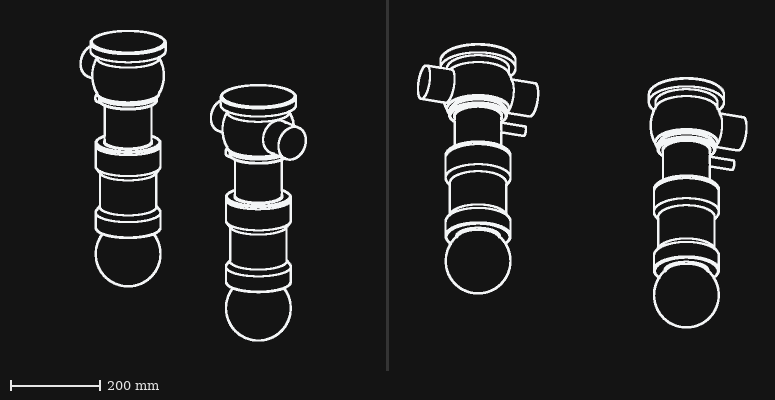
import cadquery as cq
import math

AXIS_X = 250.0
PORT_REACH = 130.0

FLANGE_R = 169.0 / 2
FLANGE_HEIGHT = 22.0
FLANGE_CHAMFER = 3.0
NECK_R = 139.0 / 2
BULB_R = 80.5
BULB_Z = -80.0
BULB_HALF_HEIGHT = math.sqrt(BULB_R**2 - NECK_R**2)
HEAD_BOTTOM_Z = -122.0
PORT_R = 76 / 2
PORT_Z = -78.0

COLLAR_R = 120.0 / 2
RING_R = 130.0 / 2
RING_TOP_Z = -126.0
RING_BOTTOM_Z = -140.0
RING_CHAMFER = 3.0
TUBE_R = 105.0 / 2
TUBE_END_BEVEL = 1.5
FOOT_TOP_Z = -235.5
SLEEVE_TOP_Z = -243.0
PIN_R = 22.0 / 2
PIN_Z = -159.0
PIN_REACH = 111.0

BAND_R = 146.0 / 2
WAIST_R = 127.0 / 2
UPPER_BAND_BOTTOM_Z = -292.5
LOWER_BAND_TOP_Z = -400.5
SLEEVE_BOTTOM_Z = -438.5
BAND_TAPER = 13.0
BAND_CHAMFER = 2.0
TIP_TOP_R = 99 / 2
TIP_BOTTOM_R = 76 / 2

BALL_R = 146.0 / 2
BALL_BOTTOM_Z = -571.0
BALL_Z = BALL_BOTTOM_Z + BALL_R
BALL_TOP_Z = -443.0
BALL_FLAT_R = math.sqrt(BALL_R**2 - (BALL_TOP_Z - BALL_Z)**2)


def revolve_profile(profile):
    """Close a radius/height outline and turn it about the Z axis."""
    return profile.close().revolve(360, (0, 0, 0), (0, 1, 0))


def side_rod(radius, z, x_start, x_end):
    """Round rod along X at height z."""
    return cq.Workplane("YZ", origin=(x_start, 0, z)).circle(radius).extrude(x_end - x_start)


def make_head(port_end_x):
    """Flanged bulb with a port on -X that runs through to port_end_x."""
    body = revolve_profile(
        cq.Workplane("XZ")
        .moveTo(0, 0)
        .lineTo(FLANGE_R - FLANGE_CHAMFER, 0)
        .lineTo(FLANGE_R, -FLANGE_CHAMFER)
        .lineTo(FLANGE_R, -FLANGE_HEIGHT)
        .lineTo(NECK_R, -FLANGE_HEIGHT)
        .lineTo(NECK_R, BULB_Z + BULB_HALF_HEIGHT)
        .threePointArc((BULB_R, BULB_Z), (NECK_R, BULB_Z - BULB_HALF_HEIGHT))
        .lineTo(NECK_R, HEAD_BOTTOM_Z)
        .lineTo(0, HEAD_BOTTOM_Z)
    )
    return body.union(side_rod(PORT_R, PORT_Z, -PORT_REACH, port_end_x))


def make_stem():
    """Tube with a chamfered ring near its top, a foot flange and a small pin on -X."""
    body = revolve_profile(
        cq.Workplane("XZ")
        .moveTo(0, HEAD_BOTTOM_Z)
        .lineTo(COLLAR_R, HEAD_BOTTOM_Z)
        .lineTo(COLLAR_R, RING_TOP_Z)
        .lineTo(RING_R - RING_CHAMFER, RING_TOP_Z)
        .lineTo(RING_R, RING_TOP_Z - RING_CHAMFER)
        .lineTo(RING_R, RING_BOTTOM_Z + RING_CHAMFER)
        .lineTo(RING_R - RING_CHAMFER, RING_BOTTOM_Z)
        .lineTo(TUBE_R + TUBE_END_BEVEL, RING_BOTTOM_Z)
        .lineTo(TUBE_R, RING_BOTTOM_Z - TUBE_END_BEVEL)
        .lineTo(TUBE_R, FOOT_TOP_Z + TUBE_END_BEVEL)
        .lineTo(TUBE_R + TUBE_END_BEVEL, FOOT_TOP_Z)
        .lineTo(BAND_R - BAND_CHAMFER, FOOT_TOP_Z)
        .lineTo(BAND_R, FOOT_TOP_Z - BAND_CHAMFER)
        .lineTo(BAND_R, SLEEVE_TOP_Z)
        .lineTo(0, SLEEVE_TOP_Z)
    )
    return body.union(side_rod(PIN_R, PIN_Z, -PIN_REACH, 0))


def make_sleeve():
    """Waisted sleeve from the end of the stem to the ball."""
    return revolve_profile(
        cq.Workplane("XZ")
        .moveTo(0, SLEEVE_TOP_Z)
        .lineTo(BAND_R, SLEEVE_TOP_Z)
        .lineTo(BAND_R, UPPER_BAND_BOTTOM_Z)
        .lineTo(WAIST_R, UPPER_BAND_BOTTOM_Z - BAND_TAPER)
        .lineTo(WAIST_R, LOWER_BAND_TOP_Z + BAND_TAPER)
        .lineTo(BAND_R, LOWER_BAND_TOP_Z)
        .lineTo(BAND_R, SLEEVE_BOTTOM_Z + BAND_CHAMFER)
        .lineTo(BAND_R - BAND_CHAMFER, SLEEVE_BOTTOM_Z)
        .lineTo(TIP_TOP_R, SLEEVE_BOTTOM_Z)
        .lineTo(TIP_BOTTOM_R, BALL_TOP_Z)
        .lineTo(0, BALL_TOP_Z)
    )


def make_ball():
    """Sphere cut flat at the top."""
    return revolve_profile(
        cq.Workplane("XZ")
        .moveTo(0, BALL_TOP_Z)
        .lineTo(BALL_FLAT_R, BALL_TOP_Z)
        .threePointArc((BALL_R, BALL_Z), (0, BALL_BOTTOM_Z))
    )


bodies = []
for axis_x, port_end_x in ((-AXIS_X, 0), (AXIS_X, PORT_REACH)):
    for body in (make_head(port_end_x), make_stem(), make_sleeve(), make_ball()):
        bodies.append(body.translate((axis_x, 0, 0)).val())

result = cq.Compound.makeCompound(bodies)